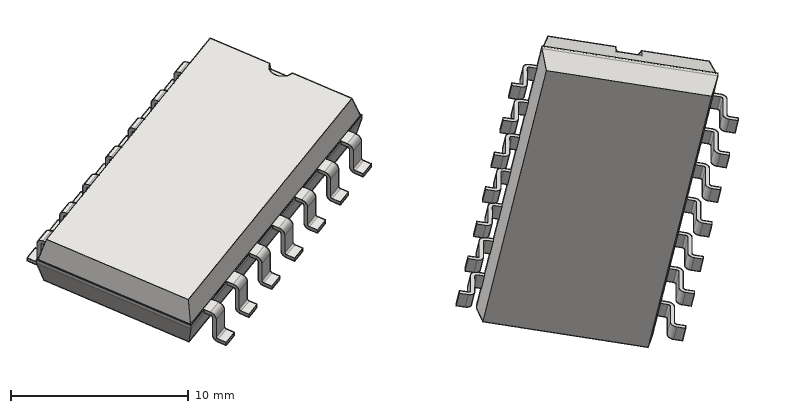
import cadquery as cq

span = 13.02
body_width = 10.12
body_length = 19.05
top_z = 3.68
standoff = 0.38

lead_thickness = 0.254
band_top_z = 2.17
band_bottom_z = band_top_z - lead_thickness

upper_step = 0.07
upper_taper = 0.35
lower_taper = 0.31

leads_per_side = 7
pitch = 2.54
lead_width = 0.92
foot_length = 0.64
shoulder_inner_radius = 0.14
heel_inner_radius = 0.12
lead_embed = 0.30

notch_radius = 0.75
notch_depth = 0.60


def tapered_half(width, length, start_z, end_z, taper):
    """Rectangular frustum from start_z to end_z, inset by taper on each side at end_z."""
    return (
        cq.Workplane("XY", origin=(0, 0, start_z))
        .rect(width, length)
        .workplane(offset=end_z - start_z)
        .rect(width - 2 * taper, length - 2 * taper)
        .loft(ruled=True)
    )


def make_body():
    band_plane = cq.Workplane("XY", origin=(0, 0, band_bottom_z))
    band = band_plane.rect(body_width, body_length).extrude(lead_thickness)
    upper = tapered_half(
        body_width - 2 * upper_step, body_length - 2 * upper_step, band_top_z, top_z, upper_taper
    )
    lower = tapered_half(body_width, body_length, band_bottom_z, standoff, lower_taper)
    return band.union(upper).union(lower)


def make_notch():
    """Cylindrical cutter, centred where the notch floor meets the sloping +Y end face."""
    floor_z = top_z - notch_depth
    end_slope = upper_taper / (top_z - band_top_z)
    centre_y = body_length / 2 - upper_step - end_slope * (floor_z - band_top_z)
    return cq.Workplane("XY", origin=(0, centre_y, floor_z)).circle(notch_radius).extrude(notch_depth)


def make_lead(y):
    """Gull-wing lead on the +X side, centred at y."""
    tip_x = span / 2
    outer_x = tip_x - foot_length
    inner_x = outer_x - lead_thickness
    root_x = body_width / 2 - lead_embed
    shoulder_outer_radius = shoulder_inner_radius + lead_thickness
    heel_outer_radius = heel_inner_radius + lead_thickness
    shoulder_x = outer_x - shoulder_outer_radius
    shoulder_z = band_top_z - shoulder_outer_radius
    heel_x = outer_x + heel_inner_radius
    heel_z = heel_outer_radius
    return (
        cq.Workplane("XZ", origin=(0, y + lead_width / 2, 0))
        .moveTo(root_x, band_top_z)
        .lineTo(shoulder_x, band_top_z)
        .radiusArc((outer_x, shoulder_z), shoulder_outer_radius)
        .lineTo(outer_x, heel_z)
        .radiusArc((heel_x, lead_thickness), -heel_inner_radius)
        .lineTo(tip_x, lead_thickness)
        .lineTo(tip_x, 0)
        .lineTo(heel_x, 0)
        .radiusArc((inner_x, heel_z), heel_outer_radius)
        .lineTo(inner_x, shoulder_z)
        .radiusArc((shoulder_x, band_bottom_z), -shoulder_inner_radius)
        .lineTo(root_x, band_bottom_z)
        .close()
        .extrude(lead_width)
    )


result = make_body().cut(make_notch())
for index in range(leads_per_side):
    lead_y = (index - (leads_per_side - 1) / 2) * pitch
    lead = make_lead(lead_y)
    result = result.union(lead).union(lead.mirror("YZ"))